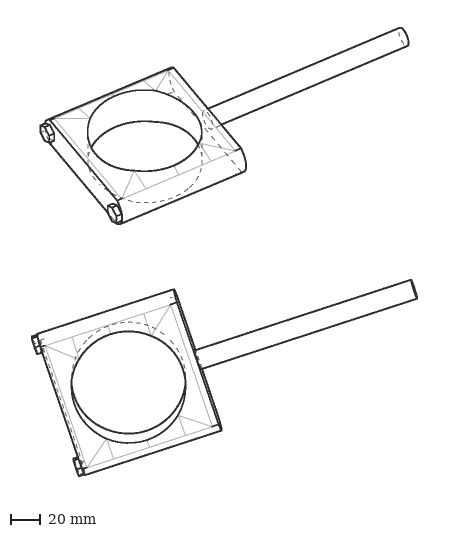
import cadquery as cq
import math

total_length = 253.0
half_width = 50.7
body_front = 47.5
body_length = 96.4

hole_radius = 38.2
edge_x = 44.0
edge_y = 44.3
edge_z = 11.1
rim_z = 15.0
rim_y = 25.3
rim_x = math.sqrt(hole_radius**2 - rim_y**2)

head_corner_radius = 6.5
head_height = 4.0
rod_diameter = 13.5
rod_length = total_length - head_height - body_length


def make_body():
    """Flat bar with bulging sides, extruded along Y."""
    profile = (
        cq.Workplane("XZ", origin=(0, body_length - body_front, 0))
        .moveTo(-edge_x, edge_z)
        .lineTo(edge_x, edge_z)
        .threePointArc((half_width, 0), (edge_x, -edge_z))
        .lineTo(-edge_x, -edge_z)
        .threePointArc((-half_width, 0), (-edge_x, edge_z))
        .close()
    )
    return profile.extrude(body_length)


def flat_face(*edges):
    return cq.Face.makeFromWires(cq.Wire.assembleEdges(edges))


def line(start, end):
    return cq.Edge.makeLine(cq.Vector(*start), cq.Vector(*end))


def polygon_face(*points):
    return flat_face(*[line(a, b) for a, b in zip(points, points[1:] + points[:1])])


def make_raised_cap():
    """Cap rising from a rectangular base to arcs that follow the hole rim on both X sides."""
    faces = [
        polygon_face(
            (-edge_x, -edge_y, edge_z),
            (edge_x, -edge_y, edge_z),
            (edge_x, -rim_y, edge_z),
            (edge_x, 0, edge_z),
            (edge_x, rim_y, edge_z),
            (edge_x, edge_y, edge_z),
            (-edge_x, edge_y, edge_z),
            (-edge_x, rim_y, edge_z),
            (-edge_x, 0, edge_z),
            (-edge_x, -rim_y, edge_z),
        )
    ]
    top_edges = []
    half_angle = math.atan2(rim_y, rim_x) / 2
    mid_x = hole_radius * math.cos(half_angle)
    mid_y = hole_radius * math.sin(half_angle)

    for side_y in (-1, 1):
        rim_ends = [(side_x * rim_x, side_y * rim_y, rim_z) for side_x in (-1, 1)]
        corners = [(side_x * edge_x, side_y * edge_y, edge_z) for side_x in (-1, 1)]
        faces.append(polygon_face(corners[0], corners[1], rim_ends[1], rim_ends[0]))
        top_edges.append(line(*rim_ends))

        for side_x, rim_end, corner in zip((-1, 1), rim_ends, corners):
            base_end = (side_x * edge_x, side_y * rim_y, edge_z)
            faces.append(polygon_face(corner, rim_end, base_end))
            arc = cq.Edge.makeThreePointArc(
                cq.Vector(side_x * hole_radius, 0, rim_z),
                cq.Vector(side_x * mid_x, side_y * mid_y, rim_z),
                cq.Vector(*rim_end),
            )
            base = line((side_x * edge_x, 0, edge_z), base_end)
            faces.append(cq.Face.makeRuledSurface(base, arc))
            top_edges.append(arc)

    faces.append(flat_face(*top_edges))
    shell = cq.Shell.makeShell(faces)
    return cq.Workplane(cq.Solid.makeSolid(shell))


def make_bolt_head(x):
    """Hexagonal head on the front face, with corners pointing up and down."""
    corners = [
        (
            x + head_corner_radius * math.sin(math.radians(60 * i)),
            head_corner_radius * math.cos(math.radians(60 * i)),
        )
        for i in range(6)
    ]
    front = cq.Workplane("XZ", origin=(0, -body_front, 0))
    return front.polyline(corners).close().extrude(head_height)


def make_handle():
    back = cq.Workplane("XZ", origin=(0, body_length - body_front, 0))
    return back.circle(rod_diameter / 2).extrude(-rod_length)


cap = make_raised_cap()
result = make_body().union(cap).union(cap.mirror("XY"))
opening = cq.Workplane("XY", origin=(0, 0, -rim_z)).circle(hole_radius).extrude(rim_z * 2)
result = result.cut(opening)
for bolt_x in (-edge_x, edge_x):
    result = result.union(make_bolt_head(bolt_x))
result = result.union(make_handle())